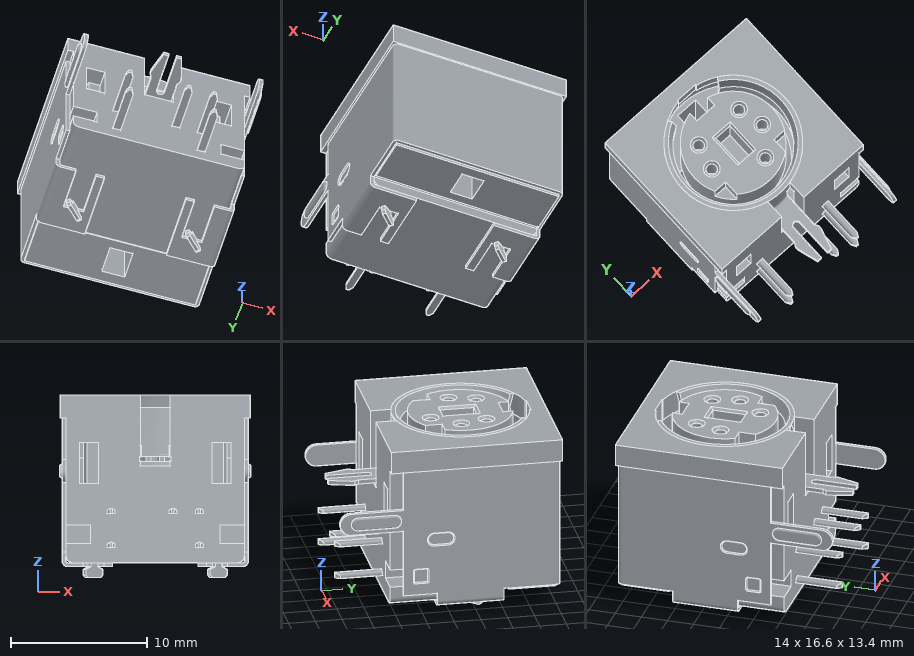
import cadquery as cq
import math


flange_half_width = 6.99
flange_height = 1.7
body_half_width = 6.55
front_y = -6.5
flange_back_y = 6.3
body_back_y = 5.91
bottom_z = -12.32
bottom_corner_radius = 0.51
rear_step_y = 1.96
rear_bottom_z = -11.54
rear_pad_front_y = 2.32
rear_pad_height = 0.22

bore_radius = 5.1
bore_depth = 5.21
lower_bore_radius = 5.55
lower_bore_top_z = -flange_height
core_radius = 3.88
core_base_radius = 4.27
core_base_height = 0.66
core_base_back_y = 1.78
key_half_width = 0.88
key_front_y = 3.02
key_back_y = 5.11
corner_notch_x = 2.39
corner_notch_y = -1.81
corner_notch_depth = 1.66
center_pocket_front_y = -1.46
center_pocket_back_y = 1.33
center_pocket_depth = 3.32
center_pocket_bevel = 0.18
socket_hole_radius = 0.42
socket_hole_mouth_radius = 0.61
socket_hole_depth = 3.32
socket_hole_places = [(-2.0, 1.58), (2.0, 1.58), (-2.49, -0.4), (2.49, -0.4), (1.0, -2.4)]

front_slot_half_width = 1.1
window_inner_x = 4.15
window_outer_x = 5.55
window_top_z = -3.5
window_bottom_z = -6.49
window_depth = 1.18
window_slope_inner_x = 5.01
window_slope_outer_x = 5.28
window_deep_depth = 2.0
window_step_z = -4.61
window_step_extra_depth = 0.33
side_notch_inner_x = 4.75
side_notch_top_z = -9.53
side_notch_bottom_z = -10.89
side_notch_depth = 2.99

sheet = 0.28
shell_front_y = -5.56
shell_bottom_z = rear_bottom_z
shell_corner_radius = 0.33
shell_half_width = body_half_width + sheet
shell_back_y = body_back_y + sheet
foot_flange_front_y = -3.02
foot_flange_inner_x = 3.12
bend_inner_radius = 0.13
foot_notch_inner_x = 3.77
foot_notch_outer_x = 5.3
foot_notch_back_y = 0.17
foot_x = 4.56
foot_bottom_z = -13.4
foot_width = 1.78
foot_neck_width = 0.73
foot_bevel = 0.2
foot_twist = 45
leg_tip_y = -10.3
leg_center_z = -5.58
leg_width = 1.66
rib_center_y = -7.59
rib_length = 3.75
rib_width = 1.01
rib_height = 0.18
rib_taper = 15
rib_edge_radius = 0.13
oval_center_y = -2.74
oval_center_z = -7.24
oval_length = 2.06
oval_width = 1.03
square_center_y = -4.23
square_center_z = -10.08
square_side = 1.16
square_corner_radius = 0.17
dimple_depth = 0.1
dimple_taper = 40

ring_sheet = 0.33
ring_waist_radius = 4.76
ring_waist_z = -0.91
ring_base_radius = 4.91
ring_bottom_z = -3.7
ring_gap_half_angle = 28.7
tail_half_width = 1.0
tail_top_z = -4.53
tail_bend_radius = 0.18
tail_barb_half_width = 1.16
tail_neck_y = -7.8
tail_barb_y = -8.22
tail_barb_flat = 0.23
tail_tip_y = -10.0
tail_tip_half_width = 0.68
tail_slot_half_width = 0.3
tail_slot_back_y = -6.64

pin_width = 0.6
pin_flat_width = 0.07
pin_arch_height = 0.3
pin_tip_y = -10.0
pin_embedded_length = 2.0
pin_tip_taper = 0.2
pin_tip_length = 0.37
upper_pin_z = -8.68
upper_pin_height = 0.35
lower_pin_z = -11.2
lower_pin_height = 0.4
outer_pin_x = 3.24
middle_pin_x = 1.3
pin_places = [
    (-outer_pin_x, upper_pin_z, upper_pin_height),
    (middle_pin_x, upper_pin_z, upper_pin_height),
    (outer_pin_x, upper_pin_z, upper_pin_height),
    (-outer_pin_x, lower_pin_z, lower_pin_height),
    (outer_pin_x, lower_pin_z, lower_pin_height),
]


def block(x0, x1, y0, y1, z0, z1):
    """Box between two opposite corners."""
    return cq.Workplane("XY").box(x1 - x0, y1 - y0, z1 - z0, centered=False).translate((x0, y0, z0))


def mirrored_pair(shape):
    """The shape together with its mirror image across the YZ plane."""
    return shape.union(shape.mirror("YZ"))


def housing_block():
    """Flange and body, stepped up at the bottom rear."""
    flange = block(-flange_half_width, flange_half_width, front_y, flange_back_y, -flange_height, 0)
    front_body = block(-body_half_width, body_half_width, front_y, rear_step_y, bottom_z, -flange_height)
    front_body = front_body.edges("|Y and <Z").fillet(bottom_corner_radius)
    rear_body = block(
        -body_half_width, body_half_width, rear_step_y, body_back_y, rear_bottom_z, -flange_height
    )
    rear_pad = block(
        -body_half_width, body_half_width, rear_pad_front_y, body_back_y,
        rear_bottom_z - rear_pad_height, rear_bottom_z,
    )
    return flange.union(front_body).union(rear_body).union(rear_pad)


def socket_core():
    """Round core in the bore, with a conical foot around its front and sides."""
    core = cq.Workplane("XY").circle(core_radius).extrude(-bore_depth)
    foot_profile = [
        (0, core_base_height - bore_depth), (core_radius, core_base_height - bore_depth),
        (core_base_radius, -bore_depth), (0, -bore_depth),
    ]
    foot = cq.Workplane("XZ").polyline(foot_profile).close().revolve(360, (0, 0), (0, 1))
    foot = foot.intersect(
        block(-bore_radius, bore_radius, -bore_radius, core_base_back_y, -bore_depth, 0)
    )
    corner_notch = block(
        corner_notch_x, bore_radius, -bore_radius, corner_notch_y, -corner_notch_depth, 0
    )
    return core.union(foot).cut(mirrored_pair(corner_notch))


def socket_holes():
    """Countersunk contact holes in the core."""
    bevel = socket_hole_mouth_radius - socket_hole_radius
    profile = [
        (0, 0), (socket_hole_mouth_radius, 0), (socket_hole_radius, -bevel),
        (socket_hole_radius, -socket_hole_depth), (0, -socket_hole_depth),
    ]
    hole = cq.Workplane("XZ").polyline(profile).close().revolve(360, (0, 0), (0, 1))
    holes = cq.Workplane("XY")
    for x, y in socket_hole_places:
        holes = holes.union(hole.translate((x, y, 0)))
    return holes


def center_pocket():
    """Rectangular pocket in the core, bevelled along its two sides and its rear edge."""
    inner_half_width = key_half_width - center_pocket_bevel
    pocket = block(
        -inner_half_width, inner_half_width, center_pocket_front_y,
        center_pocket_back_y - center_pocket_bevel, -center_pocket_depth, 0,
    )
    width_profile = [
        (-key_half_width, 0), (key_half_width, 0),
        (inner_half_width, -center_pocket_bevel), (-inner_half_width, -center_pocket_bevel),
    ]
    length_profile = [
        (center_pocket_front_y, 0), (center_pocket_back_y, 0),
        (center_pocket_back_y - center_pocket_bevel, -center_pocket_bevel),
        (center_pocket_front_y, -center_pocket_bevel),
    ]
    across = cq.Workplane("XZ").polyline(width_profile).close().extrude(core_radius, both=True)
    along = cq.Workplane("YZ").polyline(length_profile).close().extrude(core_radius, both=True)
    mouth = across.intersect(along)
    return pocket.union(mouth)


def front_window():
    """Window in the front face whose floor slopes away towards its outer side."""
    floor_y = front_y + window_depth
    deep_y = front_y + window_deep_depth
    outline = [
        (window_inner_x, front_y), (window_inner_x, floor_y), (window_slope_inner_x, floor_y),
        (window_slope_outer_x, deep_y), (window_outer_x, deep_y), (window_outer_x, front_y),
    ]
    window = cq.Workplane("XY").workplane(offset=window_bottom_z).polyline(outline).close()
    window = window.extrude(window_top_z - window_bottom_z)
    deep_part = block(
        window_slope_outer_x, window_outer_x, front_y, deep_y + window_step_extra_depth,
        window_bottom_z, window_step_z,
    )
    return window.union(deep_part)


def make_housing():
    bore = cq.Workplane("XY").circle(bore_radius).extrude(-bore_depth)
    lower_bore = cq.Workplane("XY").circle(lower_bore_radius).extrude(-bore_depth - lower_bore_top_z)
    bore = bore.union(lower_bore.translate((0, 0, lower_bore_top_z)))
    front_slot = block(-front_slot_half_width, front_slot_half_width, front_y, 0, -bore_depth, 0)
    key_slot = block(-key_half_width, key_half_width, key_front_y, key_back_y, bottom_z, 0)
    side_notch = block(
        side_notch_inner_x, body_half_width, front_y, front_y + side_notch_depth,
        side_notch_bottom_z, side_notch_top_z,
    )
    housing = housing_block().cut(bore).cut(front_slot).union(socket_core())
    housing = housing.cut(key_slot).cut(socket_holes()).cut(center_pocket())
    housing = housing.cut(mirrored_pair(front_window())).cut(mirrored_pair(side_notch))
    for x, z, height in pin_places:
        housing = housing.cut(pin_at(x, z, height))
    return housing


def shell_wrap():
    """Side and rear walls of the shell."""
    outer = block(
        -shell_half_width, shell_half_width, shell_front_y, shell_back_y, shell_bottom_z, -flange_height
    )
    outer = outer.edges("|Z and >Y").fillet(shell_corner_radius)
    inner = block(
        -body_half_width, body_half_width, shell_front_y, body_back_y, shell_bottom_z, -flange_height
    )
    return outer.cut(inner)


def foot_flange():
    """Side wall extension on +X, bent in under the housing and notched for the foot."""
    under_z = bottom_z - sheet
    outer = block(
        foot_flange_inner_x, shell_half_width, foot_flange_front_y, rear_step_y, under_z, shell_bottom_z
    )
    outer = outer.edges("|Y and >X and <Z").fillet(bend_inner_radius + sheet)
    inner = block(
        foot_flange_inner_x, body_half_width, foot_flange_front_y, rear_step_y, bottom_z, shell_bottom_z
    )
    inner = inner.edges("|Y and >X and <Z").fillet(bend_inner_radius)
    notch = block(
        foot_notch_inner_x, foot_notch_outer_x, foot_flange_front_y, foot_notch_back_y, under_z, bottom_z
    )
    return outer.cut(inner).cut(notch)


def twisted_foot(x):
    """Flat hammer-shaped foot, twisted about the vertical."""
    neck = foot_neck_width / 2
    head = foot_width / 2
    under_z = bottom_z - sheet
    right_side = [
        (neck, bottom_z), (neck, under_z), (head, under_z - foot_bevel), (head, foot_bottom_z + foot_bevel),
        (head - foot_bevel, foot_bottom_z),
    ]
    left_side = [(-px, pz) for px, pz in reversed(right_side)]
    foot = cq.Workplane("XZ").polyline(right_side + left_side).close().extrude(sheet / 2, both=True)
    return foot.rotate((0, 0, 0), (0, 0, 1), foot_twist).translate((x, 0, 0))


def shell_leg():
    """Round-ended leg on +X, with a raised rib on its outer face."""
    radius = leg_width / 2
    round_y = leg_tip_y + radius
    leg = (
        cq.Workplane("YZ", origin=(body_half_width, 0, leg_center_z))
        .moveTo(shell_front_y, -radius)
        .lineTo(round_y, -radius)
        .threePointArc((leg_tip_y, 0), (round_y, radius))
        .lineTo(shell_front_y, radius)
        .close()
        .extrude(sheet)
    )
    rib = (
        cq.Workplane("YZ", origin=(shell_half_width, rib_center_y, leg_center_z))
        .slot2D(rib_length, rib_width)
        .extrude(rib_height, taper=rib_taper)
        .faces(">X")
        .edges()
        .fillet(rib_edge_radius)
    )
    return leg.union(rib)


def shell_dimples():
    """Shallow oval and square recesses in the outer face on +X."""
    oval = (
        cq.Workplane("YZ", origin=(shell_half_width, oval_center_y, oval_center_z))
        .slot2D(oval_length, oval_width)
        .extrude(-dimple_depth, taper=dimple_taper)
    )
    square = (
        cq.Workplane("YZ", origin=(shell_half_width, square_center_y, square_center_z))
        .sketch()
        .rect(square_side, square_side)
        .vertices()
        .fillet(square_corner_radius)
        .finalize()
        .extrude(-dimple_depth, taper=dimple_taper)
    )
    return oval.union(square)


def make_shell():
    shell = shell_wrap().union(mirrored_pair(foot_flange())).union(mirrored_pair(shell_leg()))
    for x in (-foot_x, foot_x):
        shell = shell.union(twisted_foot(x))
    return shell.cut(mirrored_pair(shell_dimples()))


def waisted_ring():
    """Ring of sheet metal narrowing to a waist, open at the rear, with a strap down at the front."""
    strap_bottom_z = tail_top_z - ring_sheet
    outer_profile = [
        (bore_radius, 0), (ring_waist_radius, ring_waist_z), (ring_base_radius, strap_bottom_z),
    ]
    inner_profile = [(radius - ring_sheet, z) for radius, z in reversed(outer_profile)]
    ring = cq.Workplane("XZ").polyline(outer_profile + inner_profile).close()
    ring = ring.revolve(360, (0, 0), (0, 1))
    gap_reach = 2 * bore_radius
    gap_x = gap_reach * math.tan(math.radians(ring_gap_half_angle))
    gap = cq.Workplane("XY").polyline([(0, 0), (gap_x, gap_reach), (-gap_x, gap_reach)]).close()
    below_ring = block(
        -bore_radius, bore_radius, -bore_radius, bore_radius, strap_bottom_z, ring_bottom_z
    )
    strap = block(-tail_half_width, tail_half_width, -bore_radius, 0, strap_bottom_z, ring_bottom_z)
    return ring.cut(gap.extrude(strap_bottom_z)).cut(below_ring.cut(strap))


def board_tail():
    """Flat barbed tail pointing forward from the foot of the strap."""
    tail_bottom_z = tail_top_z - ring_sheet
    strap_middle_y = ring_sheet / 2 - ring_base_radius
    half_outline = [
        (tail_half_width, strap_middle_y), (tail_half_width, tail_neck_y),
        (tail_barb_half_width, tail_barb_y + tail_barb_flat / 2),
        (tail_barb_half_width, tail_barb_y - tail_barb_flat / 2),
        (tail_tip_half_width, tail_tip_y),
    ]
    other_half = [(-x, y) for x, y in reversed(half_outline)]
    tail = cq.Workplane("XY").workplane(offset=tail_bottom_z).polyline(half_outline + other_half).close()
    tail = tail.extrude(ring_sheet)
    slot_round_y = tail_slot_back_y - tail_slot_half_width
    slot = block(
        -tail_slot_half_width, tail_slot_half_width, tail_tip_y, slot_round_y, tail_bottom_z, tail_top_z
    )
    slot_end = cq.Workplane("XY", origin=(0, slot_round_y, tail_bottom_z))
    slot_end = slot_end.circle(tail_slot_half_width).extrude(ring_sheet)
    return tail.cut(slot).cut(slot_end)


def make_spring_ring():
    """Ring, strap and tail, with a rounded bend where the tail leaves the strap."""
    ring = waisted_ring().union(board_tail())
    bend_edge = cq.NearestToPointSelector((0, -ring_base_radius, tail_top_z))
    return ring.edges(bend_edge).fillet(tail_bend_radius)


def pin_at(x, bottom, height):
    """Arched contact pin with a tapered tip; x and bottom place its flat underside."""
    half = pin_width / 2
    flat_half = pin_flat_width / 2
    back_y = front_y + pin_embedded_length
    shoulder = height - pin_arch_height
    arc_x = flat_half + (half - flat_half) * math.cos(math.radians(45))
    arc_z = shoulder + pin_arch_height * math.sin(math.radians(45))
    pin = (
        cq.Workplane("XZ", origin=(x, back_y, bottom))
        .moveTo(-half, 0)
        .lineTo(half, 0)
        .lineTo(half, shoulder)
        .threePointArc((arc_x, arc_z), (flat_half, height))
        .lineTo(-flat_half, height)
        .threePointArc((-arc_x, arc_z), (-half, shoulder))
        .close()
        .extrude(back_y - pin_tip_y)
    )
    tip_half = half - pin_tip_taper
    side_y = pin_tip_y + pin_tip_length
    outline = [
        (x - half, back_y), (x - half, side_y), (x - tip_half, pin_tip_y),
        (x + tip_half, pin_tip_y), (x + half, side_y), (x + half, back_y),
    ]
    taper = cq.Workplane("XY").workplane(offset=bottom).polyline(outline).close().extrude(height)
    return pin.intersect(taper)


housing = make_housing()
shell = make_shell()
spring_ring = make_spring_ring()
pins = [pin_at(x, z, height) for x, z, height in pin_places]

result = cq.Compound.makeCompound(
    [housing.val(), shell.val(), spring_ring.val(), *[pin.val() for pin in pins]]
)